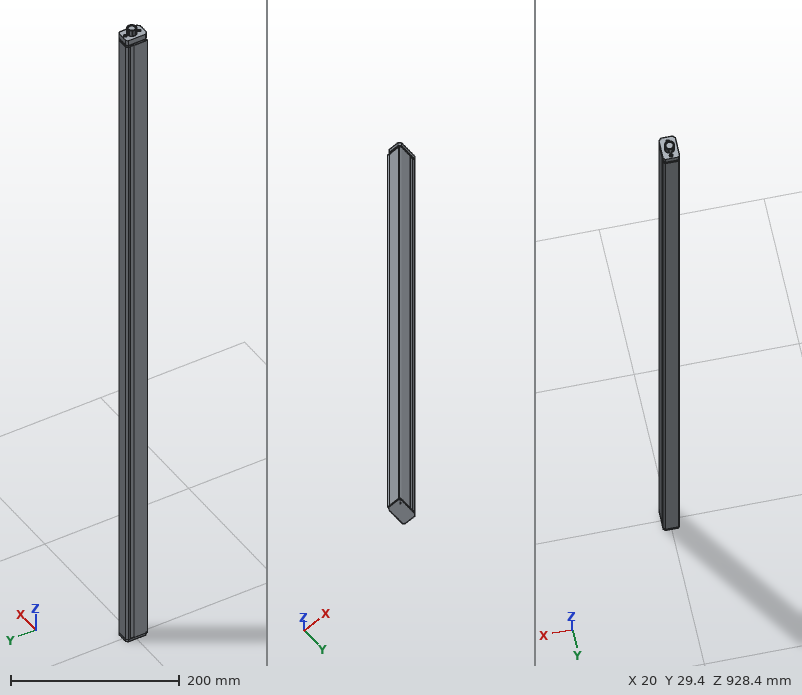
import cadquery as cq

WIDTH = 20.0
DEPTH = 29.4
LENGTH = 928.4
HALF_WIDTH = WIDTH / 2
BACK = DEPTH / 2
FRONT = -DEPTH / 2

CONNECTOR_HEIGHT = 8.4
CAP_HEAD_HEIGHT = 7.6
CAP_SKIRT_HEIGHT = 2.8
BOTTOM_CAP_HEIGHT = 3.2
PIN_HEIGHT = 1.4
CAP_TOP = LENGTH / 2 - CONNECTOR_HEIGHT
SKIRT_TOP = CAP_TOP - CAP_HEAD_HEIGHT
PROFILE_TOP = SKIRT_TOP - CAP_SKIRT_HEIGHT
PIN_BOTTOM = -LENGTH / 2
CAP_BOTTOM = PIN_BOTTOM + PIN_HEIGHT
PROFILE_BOTTOM = CAP_BOTTOM + BOTTOM_CAP_HEIGHT
PROFILE_LENGTH = PROFILE_TOP - PROFILE_BOTTOM

BACK_CHAMFER = 2.2
GROOVE_BACK = 10.4
GROOVE_FRONT = 4.2
GROOVE_DEPTH = 1.0
GROOVE_SLOPE = 1.6
SHOULDER_Y = -11.8
LIP_X = 9.6
LIP_RISE = 0.9

WINDOW_WIDTH = 14.0
WINDOW_THICKNESS = 2.4
WINDOW_FRONT = FRONT + LIP_RISE

CAP_FRONT_CHAMFER = 3.0
SKIRT_INSET = 0.4

CONNECTOR_DIAMETER = 12.0
NOTCH_COUNT = 8
NOTCH_START_ANGLE = 180 / NOTCH_COUNT
NOTCH_WIDTH = 1.2
NOTCH_DEPTH = 0.5
CONNECTOR_Y = 1.5
CONNECTOR_BORE = 9.0
INSERT_HEIGHT = 7.4

SCREW_Y_POSITIONS = (10.6, -8.5)
SCREW_DIAMETER = 4.5
SCREW_HEIGHT = 4.0
SOCKET_ACROSS_CORNERS = 2.5
SOCKET_DEPTH = 2.0
PIN_DIAMETER = 1.5
PIN_X = 6.8
PIN_Y = -10.2


def cylinder(x, y, bottom, diameter, height):
    """Upright cylinder standing on a Z plane."""
    return cq.Workplane("XY", origin=(x, y, bottom)).circle(diameter / 2).extrude(height)


def make_window():
    return (
        cq.Workplane("XY", origin=(0, WINDOW_FRONT, PROFILE_BOTTOM))
        .box(WINDOW_WIDTH, WINDOW_THICKNESS, PROFILE_LENGTH, centered=(True, False, False))
    )


def make_housing(window):
    """Extruded profile, mirrored about X = 0, with a seat for the window."""
    groove_x = HALF_WIDTH - GROOVE_DEPTH
    half_outline = [
        (0, BACK),
        (HALF_WIDTH - BACK_CHAMFER, BACK),
        (HALF_WIDTH, BACK - BACK_CHAMFER),
        (HALF_WIDTH, GROOVE_BACK),
        (groove_x, GROOVE_BACK - GROOVE_SLOPE),
        (groove_x, GROOVE_FRONT),
        (HALF_WIDTH, GROOVE_FRONT),
        (HALF_WIDTH, SHOULDER_Y),
        (LIP_X, FRONT),
        (WINDOW_WIDTH / 2, WINDOW_FRONT),
        (0, WINDOW_FRONT),
    ]
    half = (
        cq.Workplane("XY", origin=(0, 0, PROFILE_BOTTOM))
        .polyline(half_outline)
        .close()
        .extrude(PROFILE_LENGTH)
    )
    return half.union(half.mirror("YZ")).cut(window)


def cap_plate(bottom, height, inset=0.0):
    """Plate with chamfered corners, larger at the front, drawn in evenly by the inset."""
    return (
        cq.Workplane("XY", origin=(0, 0, bottom))
        .rect(WIDTH - 2 * inset, DEPTH - 2 * inset)
        .extrude(height)
        .edges("|Z and >Y")
        .chamfer(BACK_CHAMFER)
        .edges("|Z and <Y")
        .chamfer(CAP_FRONT_CHAMFER)
    )


def screw_head(y):
    """Plain head envelope, flush with the top of the cap."""
    return cylinder(0, y, CAP_TOP - SCREW_HEIGHT, SCREW_DIAMETER, SCREW_HEIGHT)


def make_top_cap():
    cap = cap_plate(SKIRT_TOP, CAP_HEAD_HEIGHT)
    cap = cap.union(cap_plate(PROFILE_TOP, CAP_SKIRT_HEIGHT, SKIRT_INSET))
    for y in SCREW_Y_POSITIONS:
        cap = cap.cut(screw_head(y))
    return cap


def make_screw(y):
    """Screw head with a hexagon socket."""
    socket = (
        cq.Workplane("XY", origin=(0, y, CAP_TOP - SOCKET_DEPTH))
        .polygon(6, SOCKET_ACROSS_CORNERS)
        .extrude(SOCKET_DEPTH)
    )
    return screw_head(y).cut(socket)


def make_connector():
    """Round sleeve with straight grip notches spaced evenly around it."""
    sleeve = cylinder(0, CONNECTOR_Y, CAP_TOP, CONNECTOR_DIAMETER, CONNECTOR_HEIGHT)
    sleeve = sleeve.cut(cylinder(0, CONNECTOR_Y, CAP_TOP, CONNECTOR_BORE, CONNECTOR_HEIGHT))
    notches = (
        cq.Workplane("XY", origin=(0, CONNECTOR_Y, CAP_TOP))
        .polarArray(CONNECTOR_DIAMETER / 2, NOTCH_START_ANGLE, 360, NOTCH_COUNT)
        .rect(2 * NOTCH_DEPTH, NOTCH_WIDTH)
        .extrude(CONNECTOR_HEIGHT)
    )
    return sleeve.cut(notches)


window = make_window()
housing = make_housing(window)
top_cap = make_top_cap()
bottom_cap = cap_plate(CAP_BOTTOM, BOTTOM_CAP_HEIGHT)
connector = make_connector()
insert = cylinder(0, CONNECTOR_Y, CAP_TOP, CONNECTOR_BORE, INSERT_HEIGHT)
screws = [make_screw(y) for y in SCREW_Y_POSITIONS]
pin = cylinder(PIN_X, PIN_Y, PIN_BOTTOM, PIN_DIAMETER, PIN_HEIGHT)

bodies = [housing, window, top_cap, bottom_cap, connector, insert, *screws, pin]
result = cq.Compound.makeCompound([body.val() for body in bodies])